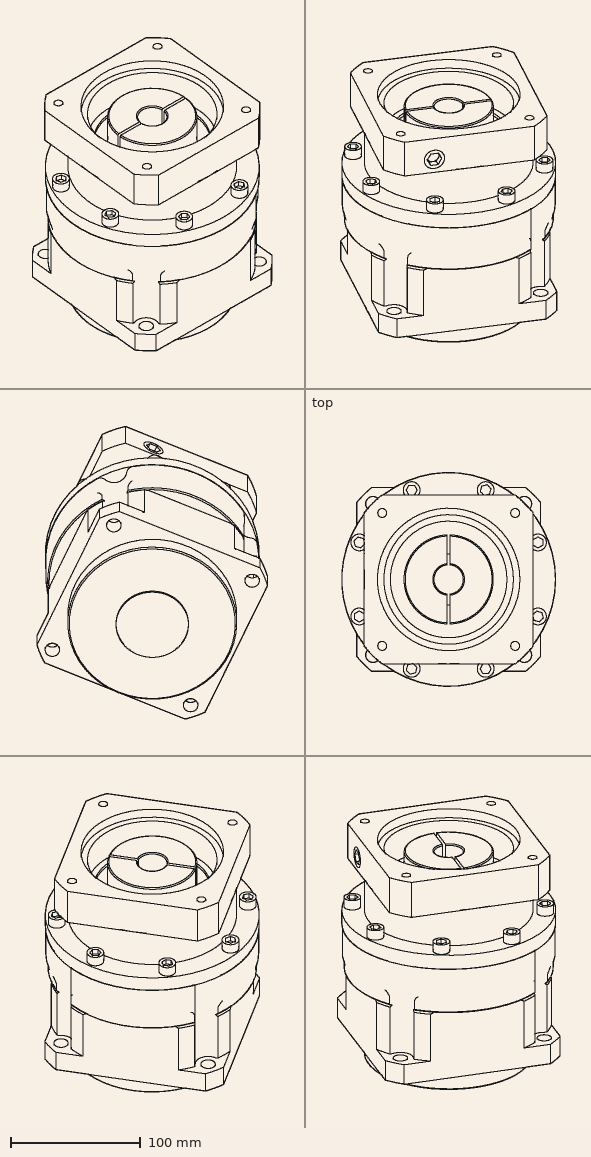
import cadquery as cq
import math

pilot_z = 1.8
foot_z = 16.6
foot_top_z = 33.3
body_top_z = 74.7
cone_bottom_z = 82.5
cone_top_z = 87.7
flange_z = 113.0
flange_top_z = 125.0
plate_z = 155.2
total_height = 185.0

output_boss_radius = 28.0
pilot_radius = 65.1
pilot_chamfer = 1.1
foot_side = 141.9
foot_corner_radius = 92.5
body_corner_radius = 80.5
body_chamfer = 1.5
lower_ring_radius = 80.7
lower_ring_chamfer = 1.1
upper_ring_radius = 82.1
flange_radius = 82.5
input_neck_radius = pilot_radius
plate_side = 2 * input_neck_radius
plate_corner_radius = 83.0

corner_angles = (45, 135, 225, 315)
mount_circle_radius = flange_radius
mount_hole_diameter = 11.1
channel_radius = 10.0
channel_blend_radius = 5.5

bolt_count = 8
bolt_circle_radius = 74.5
bolt_head_diameter = 13.0
bolt_head_height = 8.0
bolt_socket_flats = 7.4
bolt_socket_depth = 4.0
bolt_socket_turn = 7.5

motor_pilot_radius = 55.0
motor_pilot_depth = 7.5
plate_bore_radius = 50.0
ledge_z = 152.3
well_radius = 45.0
well_floor_z = 149.8
motor_hole_offset = 51.2
motor_hole_diameter = 6.8
motor_hole_depth = 20.0
drill_tip_angle = 118.0

plug_y = 28.0
plug_z = 166.7
plug_diameter = 16.1
plug_length = 15.0
plug_socket_flats = 10.0
plug_socket_depth = 5.5

hub_radius = 34.5
hub_top_z = 175.4
hub_chamfer = 1.0
hub_bore_radius = 11.3
hub_slit_width = 2.4
hub_core_radius = 19.8
hub_core_height = 3.7


def cylinder(radius, bottom_z, top_z):
    return cq.Workplane("XY").workplane(offset=bottom_z).circle(radius).extrude(top_z - bottom_z)


def rounded_square(side, corner_radius, bottom_z, top_z):
    """Square block whose corners are turned to a circle about the main axis."""
    block = cq.Workplane("XY").workplane(offset=bottom_z).rect(side, side).extrude(top_z - bottom_z)
    return block.intersect(cylinder(corner_radius, bottom_z, top_z))


def drill_tip_height(diameter):
    return diameter / 2 / math.tan(math.radians(drill_tip_angle / 2))


def drill_tip(diameter):
    """Cone along +Z with its base on the XY plane."""
    return cq.Workplane(cq.Solid.makeCone(diameter / 2, 0, drill_tip_height(diameter)))


def hex_prism(flats, depth):
    """Hexagonal prism along +Z from the XY plane, with corners on the X axis."""
    corners_diameter = flats / math.cos(math.radians(30))
    return cq.Workplane("XY").polygon(6, corners_diameter).extrude(depth)


def gear_body():
    """Square body with turned corners and a chamfer up to the ring above."""
    block = cq.Workplane("XY").workplane(offset=foot_top_z).rect(foot_side, foot_side)
    block = block.extrude(body_top_z - foot_top_z)
    turned = cylinder(body_corner_radius, foot_top_z, body_top_z)
    turned = turned.faces(">Z").edges().chamfer(body_chamfer)
    return block.intersect(turned)


def stepped_ring():
    outline = [
        (0, body_top_z),
        (lower_ring_radius - lower_ring_chamfer, body_top_z),
        (lower_ring_radius, body_top_z + lower_ring_chamfer),
        (lower_ring_radius, cone_bottom_z),
        (upper_ring_radius, cone_top_z),
        (upper_ring_radius, flange_z),
        (0, flange_z),
    ]
    return cq.Workplane("XZ").polyline(outline).close().revolve(360, (0, 0, 0), (0, 1, 0))


def channel():
    """Round channel over a mounting hole on +X, blended into the upper ring."""
    blend_centre_radius = upper_ring_radius - channel_blend_radius
    reach = channel_radius + channel_blend_radius
    cosine = (blend_centre_radius**2 + mount_circle_radius**2 - reach**2) / (
        2 * blend_centre_radius * mount_circle_radius
    )
    angle = math.acos(cosine)
    blend_x = blend_centre_radius * math.cos(angle)
    blend_y = blend_centre_radius * math.sin(angle)
    share = channel_radius / reach
    inner_x = mount_circle_radius + (blend_x - mount_circle_radius) * share
    inner_y = blend_y * share
    outer_x = upper_ring_radius * math.cos(angle)
    outer_y = upper_ring_radius * math.sin(angle)
    bisector = math.atan2(inner_y + outer_y - 2 * blend_y, inner_x + outer_x - 2 * blend_x)
    middle_x = blend_x + channel_blend_radius * math.cos(bisector)
    middle_y = blend_y + channel_blend_radius * math.sin(bisector)
    clear_x = mount_circle_radius + channel_radius
    return (
        cq.Workplane("XY")
        .workplane(offset=foot_top_z)
        .moveTo(outer_x, -outer_y)
        .threePointArc((middle_x, -middle_y), (inner_x, -inner_y))
        .threePointArc((mount_circle_radius - channel_radius, 0), (inner_x, inner_y))
        .threePointArc((middle_x, middle_y), (outer_x, outer_y))
        .lineTo(clear_x, outer_y)
        .lineTo(clear_x, -outer_y)
        .close()
        .extrude(flange_z - foot_top_z)
    )


def mount_hole():
    return cylinder(mount_hole_diameter / 2, foot_z, foot_top_z).translate((mount_circle_radius, 0, 0))


def bolt_head():
    """Socket head on the flange, at +X."""
    head_top_z = flange_top_z + bolt_head_height
    head = cylinder(bolt_head_diameter / 2, flange_top_z, head_top_z)
    socket = hex_prism(bolt_socket_flats, bolt_socket_depth)
    socket = socket.rotate((0, 0, 0), (0, 0, 1), bolt_socket_turn)
    socket = socket.translate((0, 0, head_top_z - bolt_socket_depth))
    return head.cut(socket).translate((bolt_circle_radius, 0, 0))


def motor_hole():
    """Blind tapped hole down from the motor face, at the origin."""
    bottom_z = total_height - motor_hole_depth
    tip = drill_tip(motor_hole_diameter).mirror("XY").translate((0, 0, bottom_z))
    return cylinder(motor_hole_diameter / 2, bottom_z, total_height).union(tip)


def plug_blank():
    """Cylinder that fills the access hole in the -X side of the motor plate."""
    return (
        cq.Workplane("YZ")
        .workplane(offset=-plate_side / 2)
        .center(plug_y, plug_z)
        .circle(plug_diameter / 2)
        .extrude(plug_length)
    )


def make_gearbox():
    """Housing, bolted flange with its bolt heads, and motor plate."""
    pilot = cylinder(pilot_radius, pilot_z, foot_z).faces("<Z").edges().chamfer(pilot_chamfer)
    gearbox = cylinder(output_boss_radius, 0, pilot_z).union(pilot)
    gearbox = gearbox.union(rounded_square(foot_side, foot_corner_radius, foot_z, foot_top_z))
    gearbox = gearbox.union(gear_body()).union(stepped_ring())
    corner_cutter = channel().union(mount_hole())
    for angle in corner_angles:
        gearbox = gearbox.cut(corner_cutter.rotate((0, 0, 0), (0, 0, 1), angle))

    gearbox = gearbox.union(cylinder(flange_radius, flange_z, flange_top_z))
    gearbox = gearbox.union(cylinder(input_neck_radius, flange_top_z, plate_z))
    gearbox = gearbox.union(rounded_square(plate_side, plate_corner_radius, plate_z, total_height))
    gearbox = gearbox.cut(cylinder(motor_pilot_radius, total_height - motor_pilot_depth, total_height))
    gearbox = gearbox.cut(cylinder(plate_bore_radius, ledge_z, total_height))
    gearbox = gearbox.cut(cylinder(well_radius, well_floor_z, total_height))

    for x in (-motor_hole_offset, motor_hole_offset):
        for y in (-motor_hole_offset, motor_hole_offset):
            gearbox = gearbox.cut(motor_hole().translate((x, y, 0)))
    bolt_pitch = 360 / bolt_count
    for index in range(bolt_count):
        angle = (index + 0.5) * bolt_pitch
        gearbox = gearbox.union(bolt_head().rotate((0, 0, 0), (0, 0, 1), angle))
    return gearbox.cut(plug_blank())


def make_plug():
    """Screw plug flush with the plate, with a hexagonal socket."""
    socket = hex_prism(plug_socket_flats, plug_socket_depth)
    socket = socket.union(drill_tip(plug_socket_flats).translate((0, 0, plug_socket_depth)))
    socket = socket.rotate((0, 0, 0), (0, 0, 1), 90).rotate((0, 0, 0), (0, 1, 0), 90)
    return plug_blank().cut(socket.translate((-plate_side / 2, plug_y, plug_z)))


def make_hub():
    """Clamp hub on the well floor, slit across along Y above a solid core."""
    hub = cylinder(hub_radius, well_floor_z, hub_top_z)
    core_top_z = well_floor_z + hub_core_height
    hub = hub.cut(cylinder(hub_bore_radius, core_top_z, hub_top_z))
    hub = hub.faces(">Z").edges().chamfer(hub_chamfer)
    slit = (
        cq.Workplane("XY")
        .workplane(offset=well_floor_z)
        .rect(hub_slit_width, 2 * hub_radius)
        .extrude(hub_top_z - well_floor_z)
    )
    return hub.cut(slit.cut(cylinder(hub_core_radius, well_floor_z, core_top_z)))


gearbox = make_gearbox()
plug = make_plug()
hub = make_hub()

result = cq.Compound.makeCompound([gearbox.solids().val(), plug.solids().val(), hub.solids().val()])